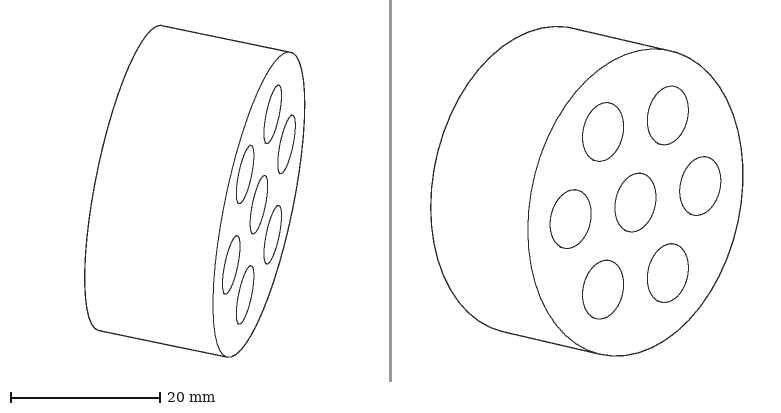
import cadquery as cq

disc_diameter = 41.8
disc_thickness = 18.0
hole_diameter = 8.0
hole_circle_radius = 12.6
outer_hole_count = 6

face_plane = cq.Workplane("YZ", origin=(-disc_thickness / 2, 0, 0))

disc = face_plane.circle(disc_diameter / 2).extrude(disc_thickness)

central_hole = face_plane.circle(hole_diameter / 2).extrude(disc_thickness)

hole_ring = (
    face_plane.polarArray(hole_circle_radius, 0, 360, outer_hole_count)
    .circle(hole_diameter / 2)
    .extrude(disc_thickness)
)

result = disc.cut(central_hole).cut(hole_ring)